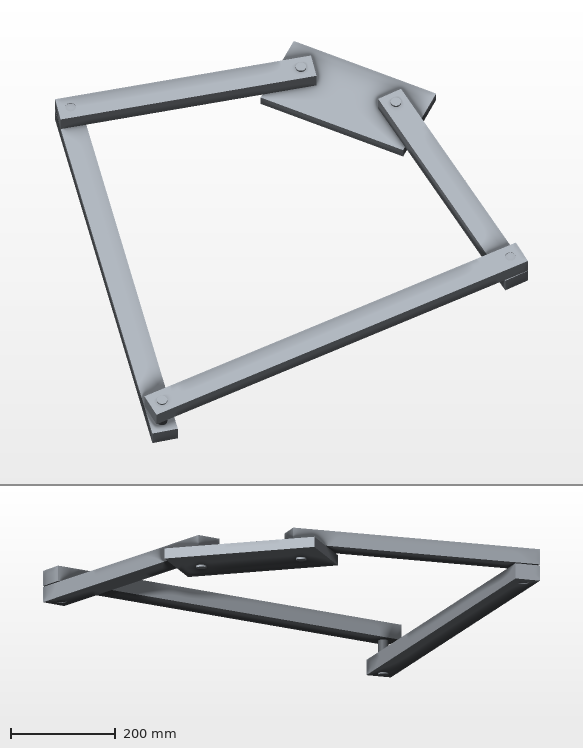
import cadquery as cq
import math


base_length = 300.0
base_width = 150.0
base_thickness = 20.0
pivot_spacing = 200.0

crank_length = 450.0
coupler_length = 750.0
link_width = 50.0
link_thickness = 30.0
layer_gap = 2.0
end_margin = link_width / 2

pin_diameter = 20.0
short_pin_length = 60.0
tip_pin_length = 100.0

left_crank_angle = math.radians(37.035)
right_crank_angle = math.radians(36.015)

crank_bottom = 0.0
crank_top = crank_bottom + link_thickness
lower_layer_top = crank_bottom - layer_gap
left_coupler_bottom = lower_layer_top - link_thickness
right_coupler_bottom = crank_top + layer_gap
right_coupler_top = right_coupler_bottom + link_thickness
base_bottom = lower_layer_top - base_thickness


def meeting_point(left, right, reach):
    """The point at the same reach from both knees, on the -Y side of them."""
    dx = right[0] - left[0]
    dy = right[1] - left[1]
    span = math.hypot(dx, dy)
    drop = math.sqrt(reach**2 - (span / 2) ** 2)
    middle_x = (left[0] + right[0]) / 2
    middle_y = (left[1] + right[1]) / 2
    return (middle_x + drop * dy / span, middle_y - drop * dx / span)


left_pivot = (-pivot_spacing / 2, 0.0)
right_pivot = (pivot_spacing / 2, 0.0)
left_knee = (
    left_pivot[0] - crank_length * math.cos(left_crank_angle),
    left_pivot[1] - crank_length * math.sin(left_crank_angle),
)
right_knee = (
    right_pivot[0] + crank_length * math.cos(right_crank_angle),
    right_pivot[1] - crank_length * math.sin(right_crank_angle),
)
tip = meeting_point(left_knee, right_knee, coupler_length)


def make_base():
    """Flat plate with a through hole at each base pivot."""
    return (
        cq.Workplane("XY", origin=(0, 0, base_bottom))
        .rect(base_length, base_width)
        .pushPoints([left_pivot, right_pivot])
        .circle(pin_diameter / 2)
        .extrude(base_thickness)
    )


def make_link(start, end, bottom):
    """Straight bar from one joint to another, with a pin hole at each."""
    dx = end[0] - start[0]
    dy = end[1] - start[1]
    length = math.hypot(dx, dy)
    bar = (
        cq.Workplane("XY")
        .rect(length + 2 * end_margin, link_width)
        .pushPoints([(-length / 2, 0), (length / 2, 0)])
        .circle(pin_diameter / 2)
        .extrude(link_thickness)
    )
    middle = ((start[0] + end[0]) / 2, (start[1] + end[1]) / 2, bottom)
    return bar.rotate((0, 0, 0), (0, 0, 1), math.degrees(math.atan2(dy, dx))).translate(middle)


def make_pin(centre, length, stack_bottom, stack_top):
    """Plain round pin, centred in height on the stack of parts it joins."""
    bottom = (stack_bottom + stack_top - length) / 2
    return (
        cq.Workplane("XY", origin=(centre[0], centre[1], bottom))
        .circle(pin_diameter / 2)
        .extrude(length)
    )


base = make_base()

left_crank = make_link(left_pivot, left_knee, crank_bottom)
right_crank = make_link(right_pivot, right_knee, crank_bottom)

left_coupler = make_link(left_knee, tip, left_coupler_bottom)
right_coupler = make_link(right_knee, tip, right_coupler_bottom)

pin_places = [
    (left_pivot, short_pin_length, base_bottom, crank_top),
    (right_pivot, short_pin_length, base_bottom, crank_top),
    (left_knee, short_pin_length, left_coupler_bottom, crank_top),
    (right_knee, short_pin_length, crank_bottom, right_coupler_top),
    (tip, tip_pin_length, left_coupler_bottom, right_coupler_top),
]
pins = [make_pin(*place) for place in pin_places]

bodies = [base, left_crank, right_crank, left_coupler, right_coupler, *pins]
result = cq.Compound.makeCompound([body.val() for body in bodies])